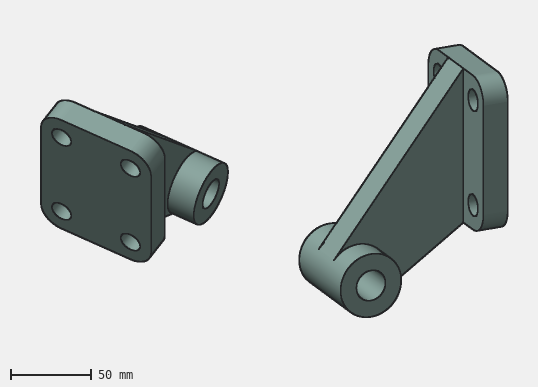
import cadquery as cq
import math

total_height = 147.5
total_depth = 111.0

plate_width = 80.0
plate_height = 103.0
plate_thickness = 17.0
corner_radius = 15.0
bolt_hole_diameter = 14.0
bolt_spacing_x = 50.0
bolt_spacing_z = 70.0

boss_diameter = 42.0
boss_length = 60.0
bore_diameter = 20.0
boss_radius = boss_diameter / 2
boss_y = total_depth - boss_radius
boss_z = plate_height - total_height + boss_radius

web_width = 22.0


def tangent_point(y, z, side):
    """Point where a line from (y, z) touches the boss; side +1 or -1 picks which tangent."""
    dy = y - boss_y
    dz = z - boss_z
    angle = math.atan2(dz, dy) + side * math.acos(boss_radius / math.hypot(dy, dz))
    return (boss_y + boss_radius * math.cos(angle), boss_z + boss_radius * math.sin(angle))


def along_x(diameter, length):
    """Cylinder on the boss axis, centred on X = 0."""
    return (
        cq.Workplane("YZ")
        .center(boss_y, boss_z)
        .circle(diameter / 2)
        .extrude(length / 2, both=True)
    )


def make_plate():
    plate = (
        cq.Workplane("XY")
        .box(plate_width, plate_thickness, plate_height, centered=(True, False, False))
        .edges("|Y")
        .fillet(corner_radius)
    )
    bolt_holes = (
        cq.Workplane("XZ")
        .center(0, plate_height / 2)
        .rarray(bolt_spacing_x, bolt_spacing_z, 2, 2)
        .circle(bolt_hole_diameter / 2)
        .extrude(-plate_thickness)
    )
    return plate.cut(bolt_holes)


def make_web():
    plate_top = (plate_thickness, plate_height)
    plate_bottom = (plate_thickness, 0)
    outline = [
        plate_bottom,
        plate_top,
        tangent_point(*plate_top, -1),
        (boss_y, boss_z),
        tangent_point(*plate_bottom, 1),
    ]
    return cq.Workplane("YZ").polyline(outline).close().extrude(web_width / 2, both=True)


bracket = make_plate().union(make_web()).union(along_x(boss_diameter, boss_length))
result = bracket.cut(along_x(bore_diameter, boss_length))